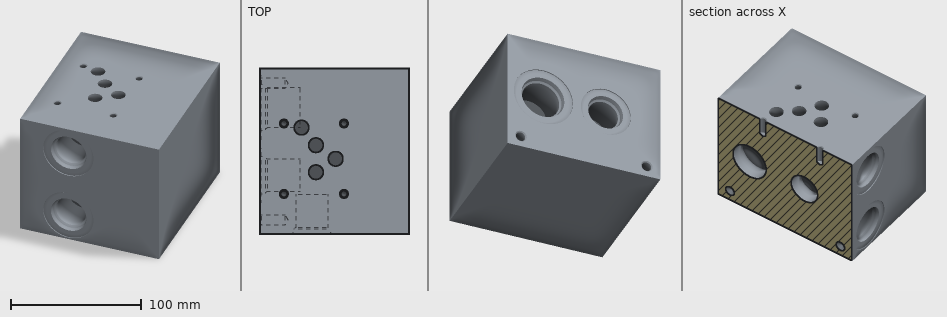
import cadquery as cq
import math

LENGTH_X = 114.3
LENGTH_Y = 127.0
LENGTH_Z = 101.6

SPOT_FACE_DEPTH = 0.8
SEAT_DEPTH = 3.3
SEAT_TAPER_DEG = 15.0
PORT_DEPTH = 30.5
SMALL_PORT = {"spot_face": 41.4, "seat": 27.4, "bore": 24.6}
LARGE_PORT = {"spot_face": 49.0, "seat": 33.8, "bore": 31.0}

WORK_PORT_X = 39.6
WORK_PORT_SPACING = 57.4

SUPPLY_PORT_Y = 45.3
TANK_PORT_Y = 97.3

MOUNT_SPACING = 104.6
MOUNT_HEIGHT = 9.4
MOUNT_HOLE = {"mouth": 9.5, "bore": 7.7, "depth": 19.0}

BOLT_SPACING_X = 46.0
BOLT_SPACING_Y = 54.0
BOLT_MIN_X = 18.4
BOLT_MIN_Y = 30.9
BOLT_HOLE = {"mouth": 6.4, "bore": 5.0, "depth": 15.2}
DRILL_POINT_DEG = 118.0

PASSAGE_DIAMETER = 11.2
PASSAGE_DEPTH = 25.4
PASSAGE_OFFSETS = [
    (32.5, 3.2),
    (21.5, 16.6),
    (6.4, 27.0),
    (21.5, 37.3),
]


def revolved_cut(plane, profile):
    """Turn a (radius, depth) profile about the plane's normal, going down into the face."""
    axis_top = (0, 0)
    axis_bottom = (0, -profile[-1][1])
    points = [axis_top] + [(radius, -depth) for radius, depth in profile]
    if points[-1] != axis_bottom:
        points.append(axis_bottom)
    side_plane = cq.Plane(origin=plane.origin, xDir=plane.xDir, normal=-plane.yDir)
    return cq.Workplane(side_plane).polyline(points).close().revolve(360, (0, 0), (0, 1))


def port_cut(plane, port):
    spot_face_radius = port["spot_face"] / 2
    seat_radius = port["seat"] / 2
    bore_radius = port["bore"] / 2
    mouth_radius = seat_radius + SEAT_DEPTH * math.tan(math.radians(SEAT_TAPER_DEG))
    seat_bottom = SPOT_FACE_DEPTH + SEAT_DEPTH
    lead_in_bottom = seat_bottom + seat_radius - bore_radius
    return revolved_cut(plane, [
        (spot_face_radius, 0),
        (spot_face_radius, SPOT_FACE_DEPTH),
        (mouth_radius, SPOT_FACE_DEPTH),
        (seat_radius, seat_bottom),
        (bore_radius, lead_in_bottom),
        (bore_radius, PORT_DEPTH),
    ])


def tapped_hole_cut(plane, hole):
    """Blind drilled hole with a 45 degree countersink and a conical drill point."""
    mouth_radius = hole["mouth"] / 2
    bore_radius = hole["bore"] / 2
    point_height = bore_radius / math.tan(math.radians(DRILL_POINT_DEG / 2))
    return revolved_cut(plane, [
        (mouth_radius, 0),
        (bore_radius, mouth_radius - bore_radius),
        (bore_radius, hole["depth"]),
        (0, hole["depth"] + point_height),
    ])


def front_plane(x, z):
    return cq.Plane(origin=(x, 0, z), xDir=(1, 0, 0), normal=(0, -1, 0))


def left_plane(y, z):
    return cq.Plane(origin=(0, y, z), xDir=(0, 1, 0), normal=(-1, 0, 0))


def top_plane(x, y):
    return cq.Plane(origin=(x, y, LENGTH_Z), xDir=(1, 0, 0), normal=(0, 0, 1))


block = cq.Workplane("XY").box(LENGTH_X, LENGTH_Y, LENGTH_Z, centered=False)
mid_height = LENGTH_Z / 2

for side in (-1, 1):
    port_z = mid_height + side * WORK_PORT_SPACING / 2
    block = block.cut(port_cut(front_plane(WORK_PORT_X, port_z), SMALL_PORT))

block = block.cut(port_cut(left_plane(SUPPLY_PORT_Y, mid_height), SMALL_PORT))
block = block.cut(port_cut(left_plane(TANK_PORT_Y, mid_height), LARGE_PORT))

for side in (-1, 1):
    mount_y = LENGTH_Y / 2 + side * MOUNT_SPACING / 2
    block = block.cut(tapped_hole_cut(left_plane(mount_y, MOUNT_HEIGHT), MOUNT_HOLE))

bolt_max_x = BOLT_MIN_X + BOLT_SPACING_X
bolt_max_y = BOLT_MIN_Y + BOLT_SPACING_Y
for bolt_x in (BOLT_MIN_X, bolt_max_x):
    for bolt_y in (BOLT_MIN_Y, bolt_max_y):
        block = block.cut(tapped_hole_cut(top_plane(bolt_x, bolt_y), BOLT_HOLE))

for offset_x, offset_y in PASSAGE_OFFSETS:
    passage_plane = top_plane(bolt_max_x - offset_x, bolt_max_y - offset_y)
    passage = cq.Workplane(passage_plane).circle(PASSAGE_DIAMETER / 2).extrude(-PASSAGE_DEPTH)
    block = block.cut(passage)

result = block